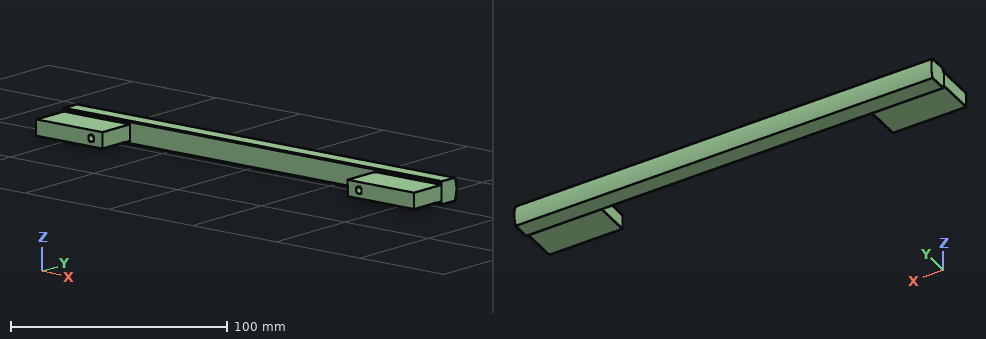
import cadquery as cq
import math

bar_length = 226.0
bar_height = 11.0
bar_depth = 11.0
crown_rise = 1.1
front_chamfer = 0.5

total_depth = 31.0
foot_length = 39.8
foot_height = 8.0
foot_depth = total_depth - bar_depth

hole_spacing = 160.0
hole_diameter = 3.5
hole_depth = 13.5
drill_point_angle = 118.0

bar_front = foot_depth
bar_back = total_depth


def make_bar():
    """Extrude a section with chamfered front edges and a crowned back along X."""
    half_height = bar_height / 2
    crown_start = bar_back - crown_rise
    return (
        cq.Workplane("YZ", origin=(-bar_length / 2, 0, 0))
        .moveTo(bar_front, -half_height + front_chamfer)
        .lineTo(bar_front + front_chamfer, -half_height)
        .lineTo(crown_start, -half_height)
        .threePointArc((bar_back, 0), (crown_start, half_height))
        .lineTo(bar_front + front_chamfer, half_height)
        .lineTo(bar_front, half_height - front_chamfer)
        .close()
        .extrude(bar_length)
    )


def make_foot(side):
    """Make the foot at one end of the bar; side is -1 for -X and +1 for +X."""
    center_x = side * (bar_length - foot_length) / 2
    block = cq.Workplane("XY").box(foot_length, foot_depth, foot_height)
    block = block.translate((center_x, foot_depth / 2, 0))
    radius = hole_diameter / 2
    tip_length = radius / math.tan(math.radians(drill_point_angle / 2))
    screw_hole = (
        cq.Workplane("XY")
        .lineTo(radius, 0)
        .lineTo(radius, hole_depth)
        .lineTo(0, hole_depth + tip_length)
        .close()
        .revolve(360, (0, 0, 0), (0, 1, 0))
        .translate((side * hole_spacing / 2, 0, 0))
    )
    return block.cut(screw_hole)


bar = make_bar()
feet = [make_foot(side) for side in (-1, 1)]

result = cq.Compound.makeCompound([bar.val(), *[foot.val() for foot in feet]])